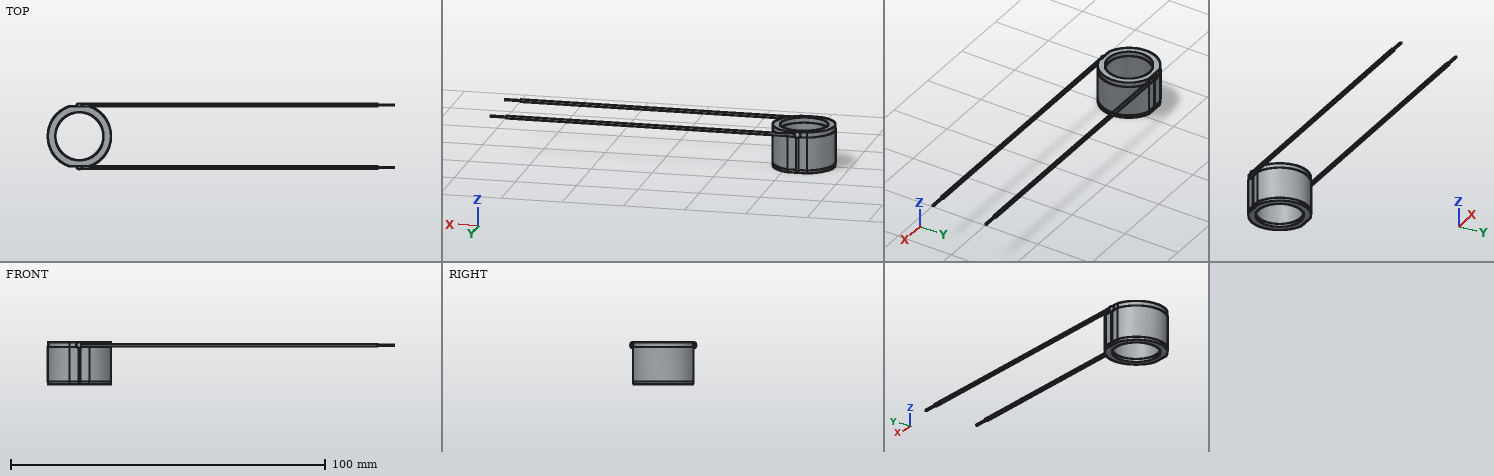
import cadquery as cq

ring_height = 13.5
ring_radius = 10.0
bore_radius = 7.7
flat_distance = 9.5

layer_thickness = 0.1
layer_bottom = 1.0
top_rim_height = 1.65
layer_height = ring_height - top_rim_height - layer_bottom

strip_width = 0.7
strip_bottom = 0.4
strip_rise = 0.05
strip_thickness = layer_thickness + strip_rise

lead_radius = 0.45
core_radius = 0.2
lead_start = 0.5
sleeve_end = 94.8
core_end = 100.0
lead_clearance = 0.01
lead_depth = 1.0
lead_height = ring_height - lead_depth
lead_offset = flat_distance + lead_clearance + lead_radius

solder_radius = 1.0
solder_height = ring_height - solder_radius


def flatted_disc(radius, half_width, height, bottom):
    """Cylinder on the Z axis, cut flat at Y = +half_width and Y = -half_width."""
    disc = cq.Workplane("XY").workplane(offset=bottom).circle(radius).extrude(height)
    slab = (
        cq.Workplane("XY")
        .workplane(offset=bottom)
        .rect(2 * radius, 2 * half_width)
        .extrude(height)
    )
    return disc.intersect(slab)


def make_ring():
    """Ring body with the outer and inner electrode layers joined to it."""
    body = flatted_disc(ring_radius, flat_distance, ring_height, 0)
    outer_layer = flatted_disc(
        ring_radius + layer_thickness,
        flat_distance + layer_thickness,
        layer_height,
        layer_bottom,
    )
    bore = cq.Workplane("XY").circle(bore_radius).extrude(ring_height)
    inner_layer = (
        cq.Workplane("XY")
        .workplane(offset=layer_bottom)
        .circle(bore_radius)
        .circle(bore_radius - layer_thickness)
        .extrude(layer_height)
    )
    return body.union(outer_layer).cut(bore).union(inner_layer)


def make_strip(side):
    """Strip on the flat of the given Y side (+1 or -1); half its depth is sunk into the ring."""
    return (
        cq.Workplane("XY")
        .workplane(offset=strip_bottom)
        .center(0, side * flat_distance)
        .rect(strip_width, 2 * strip_thickness)
        .extrude(lead_height - strip_bottom)
    )


def make_lead(side):
    """Insulated wire with a thinner bare core at its tip."""
    axis_plane = cq.Workplane("YZ", origin=(0, side * lead_offset, lead_height))
    sleeve = axis_plane.workplane(offset=lead_start).circle(lead_radius).extrude(sleeve_end - lead_start)
    core = axis_plane.circle(core_radius).extrude(core_end)
    return sleeve.union(core)


def make_solder(side):
    """Solder dome centred on the flat; its buried half stays inside the ring wall."""
    centre = (0, side * flat_distance, solder_height)
    return cq.Workplane("XY", origin=centre).sphere(solder_radius)


result = make_ring()
for side in (-1, 1):
    result = result.union(make_strip(side))
    result = result.union(make_solder(side))
    result = result.union(make_lead(side))